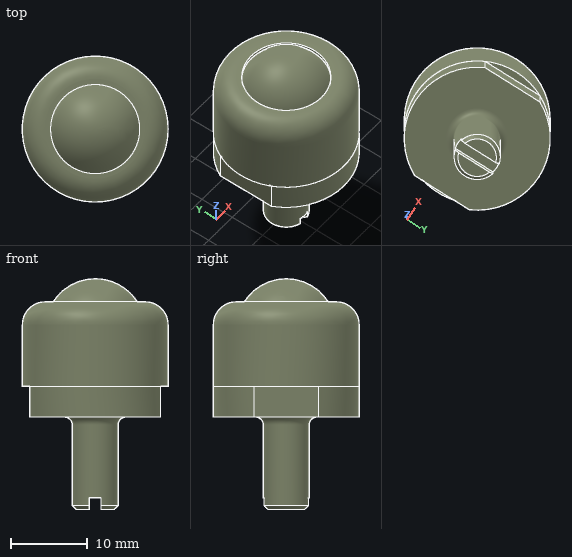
import cadquery as cq

total_height = 30.0
base_bottom = 12.0
base_height = 4.0
cap_top = 27.0

body_diameter = 19.0
cap_rounding = 3.0
opening_diameter = 11.58

ball_diameter = 13.0

width_across_flats = 17.0
stud_diameter = 6.0
stud_root_fillet = 1.0
stud_tip_chamfer = 0.5
slot_width = 1.5
slot_depth = 1.5

cap_bottom = base_bottom + base_height
cap_height = cap_top - cap_bottom
ball_center_height = total_height - ball_diameter / 2


def make_ball():
    """Rolling ball that stands proud of the cap."""
    return cq.Workplane("XY").sphere(ball_diameter / 2).translate((0, 0, ball_center_height))


def make_cap():
    """Round housing with a spherical ball seat under a cylindrical opening."""
    cap = (
        cq.Workplane("XY", origin=(0, 0, cap_bottom))
        .circle(body_diameter / 2)
        .extrude(cap_height)
        .faces(">Z")
        .edges()
        .fillet(cap_rounding)
    )
    opening = (
        cq.Workplane("XY", origin=(0, 0, ball_center_height))
        .circle(opening_diameter / 2)
        .extrude(cap_top - ball_center_height)
    )
    return cap.cut(make_ball()).cut(opening)


def make_base_plate():
    """Round plate with two parallel flats facing -X and +X."""
    disc = cq.Workplane("XY").circle(body_diameter / 2).extrude(base_height)
    flats = cq.Workplane("XY").rect(width_across_flats, body_diameter).extrude(base_height)
    return disc.intersect(flats).translate((0, 0, base_bottom))


def make_stud():
    """Stud with a chamfered tip and a concave fillet at its root."""
    radius = stud_diameter / 2
    arc_inset = stud_root_fillet * (1 - 0.5 ** 0.5)
    return (
        cq.Workplane("XZ")
        .lineTo(radius - stud_tip_chamfer, 0)
        .lineTo(radius, stud_tip_chamfer)
        .lineTo(radius, base_bottom - stud_root_fillet)
        .threePointArc(
            (radius + arc_inset, base_bottom - arc_inset),
            (radius + stud_root_fillet, base_bottom),
        )
        .lineTo(0, base_bottom)
        .close()
        .revolve(360, (0, 0), (0, 1))
    )


def make_base():
    """Base plate and stud in one piece, with a screwdriver slot across the tip along Y."""
    slot = cq.Workplane("XY").rect(slot_width, stud_diameter).extrude(slot_depth)
    return make_base_plate().union(make_stud()).cut(slot)


ball = make_ball()
cap = make_cap()
base = make_base()

result = cq.Compound.makeCompound([ball.val(), cap.solids().val(), base.solids().val()])